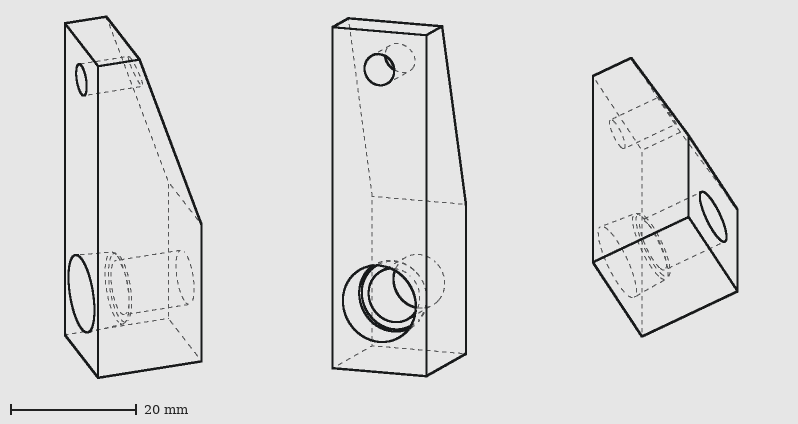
import cadquery as cq

width = 16.0
depth = 17.45
height = 55.55

top_depth = 7.0
slope_start = 24.35

small_hole_diameter = 5.05
small_hole_height = 49.3

large_hole_height = 11.15
through_diameter = 8.7
bore_mouth_diameter = 12.45
bore_end_diameter = 11.55
seat_diameter = 11.05
bore_depth = 6.0
seat_depth = 6.5


def make_body():
    """Side profile of the block, extruded symmetrically across its width."""
    profile = [
        (0, 0),
        (depth, 0),
        (depth, slope_start),
        (top_depth, height),
        (0, height),
    ]
    return cq.Workplane("YZ").polyline(profile).close().extrude(width / 2, both=True)


def make_small_hole():
    """Cylinder running front to back through the upper part."""
    axis_start = cq.Vector(0, 0, small_hole_height)
    cylinder = cq.Solid.makeCylinder(small_hole_diameter / 2, depth, axis_start, cq.Vector(0, 1, 0))
    return cq.Workplane(cylinder)


def make_large_hole():
    """Stepped cutter revolved about the hole axis, front to back."""
    half_section = [
        (0, 0),
        (bore_mouth_diameter / 2, 0),
        (bore_end_diameter / 2, bore_depth),
        (seat_diameter / 2, seat_depth),
        (through_diameter / 2, seat_depth),
        (through_diameter / 2, depth),
        (0, depth),
    ]
    section_plane = cq.Plane((0, 0, large_hole_height), xDir=(0, 0, -1), normal=(1, 0, 0))
    return cq.Workplane(section_plane).polyline(half_section).close().revolve(360, (0, 0), (0, 1))


result = make_body().cut(make_small_hole()).cut(make_large_hole())